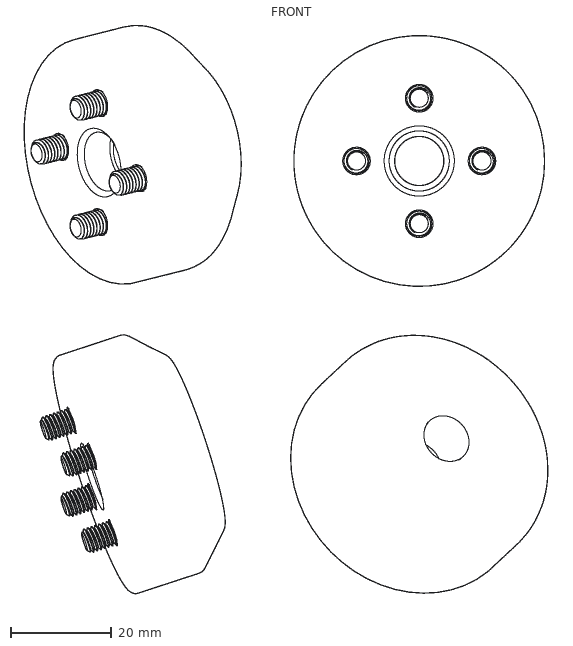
import cadquery as cq
import math

disc_diameter = 50.0
disc_thickness = 22.0
front_edge_radius = 1.5
rear_bevel = 7.0
bevel_blend_radius = 2.0

bore_diameter = 12.0
bore_depth = 7.5
bore_chamfer = 1.0
through_diameter = 9.75

stud_count = 4
stud_circle_radius = 12.5
stud_projection = 6.0
stud_hole_diameter = 5.5
stud_hole_depth = 14.0
thread_diameter = 5.0
thread_core_diameter = 3.95
thread_pitch = 0.8
tip_chamfer = 0.7

thread_length = 12.0
thread_turn = 60.0
groove_root_width = 0.1
groove_half_angle = 30.0
groove_overcut = 0.05

stud_length = stud_hole_depth + stud_projection
stud_angles = [i * 360.0 / stud_count for i in range(stud_count)]


def cylinder_along_y(diameter, start_y, length):
    """Cylinder around the Y axis, from start_y toward +Y."""
    return cq.Workplane("XZ", origin=(0, start_y, 0)).circle(diameter / 2).extrude(-length)


def stud_place(angle):
    """Centre of the stud at this angle, as its x and z."""
    turn = math.radians(angle)
    return stud_circle_radius * math.cos(turn), stud_circle_radius * math.sin(turn)


def make_disc():
    disc = cylinder_along_y(disc_diameter, 0, disc_thickness)
    disc = disc.faces("<Y").edges().fillet(front_edge_radius)
    disc = disc.faces(">Y").edges().chamfer(rear_bevel)
    disc = disc.faces("%CONE").edges("%CIRCLE").fillet(bevel_blend_radius)

    disc = disc.cut(cylinder_along_y(through_diameter, 0, disc_thickness))
    bore = cylinder_along_y(bore_diameter, 0, bore_depth)
    bore_radius = bore_diameter / 2
    mouth = cq.Solid.makeCone(
        bore_radius + bore_chamfer, bore_radius, bore_chamfer, dir=cq.Vector(0, 1, 0)
    )
    disc = disc.cut(bore).cut(cq.Workplane(mouth))

    for angle in stud_angles:
        x, z = stud_place(angle)
        hole = cylinder_along_y(stud_hole_diameter, 0, stud_hole_depth)
        disc = disc.cut(hole.translate((x, 0, z)))
    return disc.solids()


def make_thread_groove():
    """Right-hand helical groove cutter around the Z axis, starting one pitch below z = 0."""
    root_radius = thread_core_diameter / 2
    outer_radius = thread_diameter / 2 + groove_overcut
    flank_spread = (outer_radius - root_radius) * math.tan(math.radians(groove_half_angle))
    root_half_width = groove_root_width / 2
    outer_half_width = root_half_width + flank_spread
    profile = (
        cq.Workplane("XZ")
        .moveTo(root_radius, -root_half_width)
        .lineTo(outer_radius, -outer_half_width)
        .lineTo(outer_radius, outer_half_width)
        .lineTo(root_radius, root_half_width)
        .close()
    )
    helix = cq.Wire.makeHelix(thread_pitch, thread_length + thread_pitch, root_radius)
    groove = profile.sweep(cq.Workplane(helix), isFrenet=True)
    return groove.translate((0, 0, -thread_pitch))


def make_stud():
    """Threaded stud on the Y axis, its chamfered tip in front of the disc."""
    stud = cq.Workplane("XY").circle(thread_diameter / 2).extrude(stud_length)
    stud = stud.faces("<Z").chamfer(tip_chamfer)
    stud = stud.cut(make_thread_groove())
    stud = stud.rotate((0, 0, 0), (0, 0, 1), thread_turn)
    stud = stud.rotate((0, 0, 0), (1, 0, 0), -90)
    return stud.translate((0, -stud_projection, 0)).solids()


disc = make_disc()
stud = make_stud()
studs = []
for angle in stud_angles:
    x, z = stud_place(angle)
    studs.append(stud.translate((x, 0, z)).val())

result = cq.Compound.makeCompound([disc.val(), *studs])